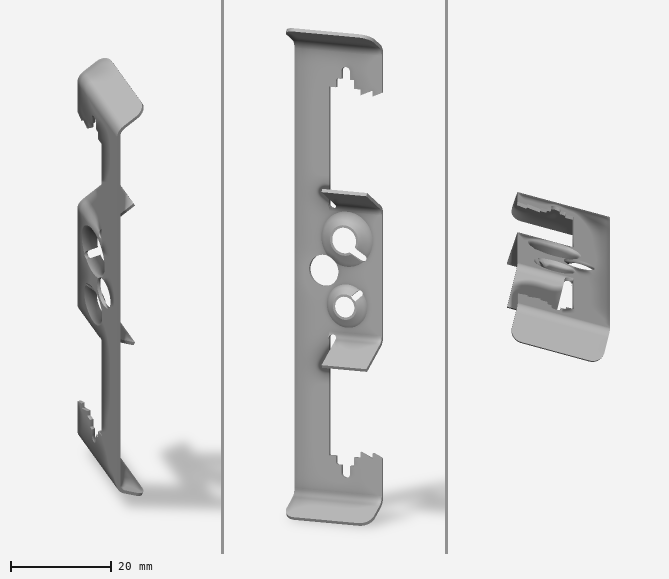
import cadquery as cq
import math

WIDTH = 19.1
HALF_LENGTH = 50.0
SHEET = 0.7
BEND_ANGLE = 60.0

FLANGE_BEND_START = 44.8
FLANGE_BEND_RADIUS = 2.7
FLANGE_CORNER_RADIUS = 2.5

OPENING_DEPTH = 11.5
SHOULDER_Z = 37.5
TOOTH_TIP_Z = 36.3
OUTER_TOOTH_X = 2.0
INNER_TOOTH_X = 4.7
EDGE_CORNER_Z = 37.2

NOTCH_X = 7.9
STEP_LEFT_X = 6.1
STEP_RIGHT_X = 10.0
STEP_Z = 39.3
STEP_CORNER_RADIUS = 0.5
NOTCH_SLOT_WIDTH = 1.9
NOTCH_TIP_Z = 41.8

TAB_WIDTH = 9.8
TAB_BEND_START = 12.3
TAB_TIP_Z = 18.2
TAB_BEND_RADIUS = 2.4
RELIEF_BOTTOM_Z = 12.8

CENTRE_HOLE_X = 12.7
CENTRE_HOLE_RADIUS = 3.2
DIMPLE_X = 7.6
DIMPLE_Z = 6.8
RIM_OVERLAP = 0.1
LIP_WALL = 0.5


def box(x0, x1, y0, y1, z0, z1):
    return cq.Workplane("XY").box(x1 - x0, y1 - y0, z1 - z0, centered=False).translate((x0, y0, z0))


def bent_sheet(length_x, start_z, tip_z, radius):
    """Sheet leaving the flat at start_z, bending toward +Y and ending with its outer edge at tip_z."""
    angle = math.radians(BEND_ANGLE)

    def on_arc(arc_radius, turn):
        return radius - arc_radius * math.cos(turn), start_z + arc_radius * math.sin(turn)

    inner_radius = radius - SHEET
    outer_end = on_arc(radius, angle)
    inner_end = on_arc(inner_radius, angle)
    rise = tip_z - outer_end[1]
    run = rise * math.tan(angle)
    return (
        cq.Workplane("YZ")
        .moveTo(0, start_z)
        .threePointArc(on_arc(radius, angle / 2), outer_end)
        .lineTo(outer_end[0] + run, tip_z)
        .lineTo(inner_end[0] + run, inner_end[1] + rise)
        .lineTo(*inner_end)
        .threePointArc(on_arc(inner_radius, angle / 2), (SHEET, start_z))
        .close()
        .extrude(length_x)
    )


def flange():
    blank = bent_sheet(WIDTH, FLANGE_BEND_START, HALF_LENGTH, FLANGE_BEND_RADIUS)
    angle = math.radians(BEND_ANGLE)
    through_sheet = cq.Vector(0, math.cos(angle), -math.sin(angle))
    tip_corners = blank.edges(cq.selectors.ParallelDirSelector(through_sheet))
    return tip_corners.fillet(FLANGE_CORNER_RADIUS)


def tab():
    relief_radius = (OPENING_DEPTH - TAB_WIDTH) / 2
    relief_x = TAB_WIDTH + relief_radius
    relief_z = RELIEF_BOTTOM_Z + relief_radius
    relief = box(TAB_WIDTH, OPENING_DEPTH, 0, HALF_LENGTH, relief_z, HALF_LENGTH).union(
        cq.Workplane("XZ").center(relief_x, relief_z).circle(relief_radius).extrude(-HALF_LENGTH)
    )
    return bent_sheet(OPENING_DEPTH, TAB_BEND_START, TAB_TIP_Z, TAB_BEND_RADIUS).cut(relief)


def opening():
    slot_radius = NOTCH_SLOT_WIDTH / 2
    slot_left = NOTCH_X - slot_radius
    slot_right = NOTCH_X + slot_radius
    slot_end_z = NOTCH_TIP_Z - slot_radius
    corner_mid = STEP_CORNER_RADIUS * (1 - math.sqrt(0.5))
    return (
        cq.Workplane("XZ")
        .moveTo(0, TAB_BEND_START)
        .lineTo(OPENING_DEPTH, TAB_BEND_START)
        .lineTo(OPENING_DEPTH, SHOULDER_Z)
        .lineTo(STEP_RIGHT_X, SHOULDER_Z)
        .lineTo(STEP_RIGHT_X, STEP_Z - STEP_CORNER_RADIUS)
        .threePointArc(
            (STEP_RIGHT_X - corner_mid, STEP_Z - corner_mid),
            (STEP_RIGHT_X - STEP_CORNER_RADIUS, STEP_Z),
        )
        .lineTo(slot_right, STEP_Z)
        .lineTo(slot_right, slot_end_z)
        .threePointArc((NOTCH_X, NOTCH_TIP_Z), (slot_left, slot_end_z))
        .lineTo(slot_left, STEP_Z)
        .lineTo(STEP_LEFT_X, STEP_Z)
        .lineTo(STEP_LEFT_X, SHOULDER_Z)
        .lineTo(INNER_TOOTH_X, SHOULDER_Z)
        .lineTo(INNER_TOOTH_X, TOOTH_TIP_Z)
        .lineTo(OUTER_TOOTH_X, SHOULDER_Z)
        .lineTo(OUTER_TOOTH_X, TOOTH_TIP_Z)
        .lineTo(0, EDGE_CORNER_Z)
        .close()
        .extrude(-SHEET)
    )


def upper_half():
    flat = box(0, WIDTH, 0, SHEET, 0, FLANGE_BEND_START)
    return flat.cut(opening()).union(flange()).union(tab())


def cone(start_y, start_radius, end_y, end_radius, z):
    """Solid cone frustum along Y on the dimple axis at height z."""
    solid = cq.Solid.makeCone(
        start_radius, end_radius, end_y - start_y, cq.Vector(DIMPLE_X, start_y, z), cq.Vector(0, 1, 0)
    )
    return cq.Workplane(solid)


def dimple_slit(start, end, width, direction, z):
    """Slit running outward from the dimple axis, square at its start and round at its end."""
    half_width = width / 2
    return (
        cq.Workplane("XZ")
        .moveTo(start, -half_width)
        .lineTo(end - half_width, -half_width)
        .threePointArc((end, 0), (end - half_width, half_width))
        .lineTo(start, half_width)
        .close()
        .extrude(-HALF_LENGTH)
        .rotate((0, 0, 0), (0, -1, 0), direction)
        .translate((DIMPLE_X, 0, z))
    )


def add_dimple(body, z, rim_radius, hole_radius, depth):
    """Press a conical dimple with a hole at its end."""
    outside = cone(SHEET, rim_radius + RIM_OVERLAP, depth, hole_radius + LIP_WALL, z)
    inside = cone(0, rim_radius, depth, hole_radius, z)
    return body.union(outside).cut(inside)


half = upper_half()
body = half.union(half.mirror("XY"))

body = add_dimple(body, z=DIMPLE_Z, rim_radius=5.5, hole_radius=2.6, depth=2.1)
body = body.cut(dimple_slit(start=0, end=5.7, width=1.6, direction=225, z=DIMPLE_Z))

body = add_dimple(body, z=-DIMPLE_Z, rim_radius=4.3, hole_radius=2.1, depth=1.8)
body = body.cut(dimple_slit(start=2.4, end=4.6, width=1.3, direction=135, z=-DIMPLE_Z))

centre_hole = cq.Workplane("XZ").center(CENTRE_HOLE_X, 0).circle(CENTRE_HOLE_RADIUS).extrude(-HALF_LENGTH)
result = body.cut(centre_hole)